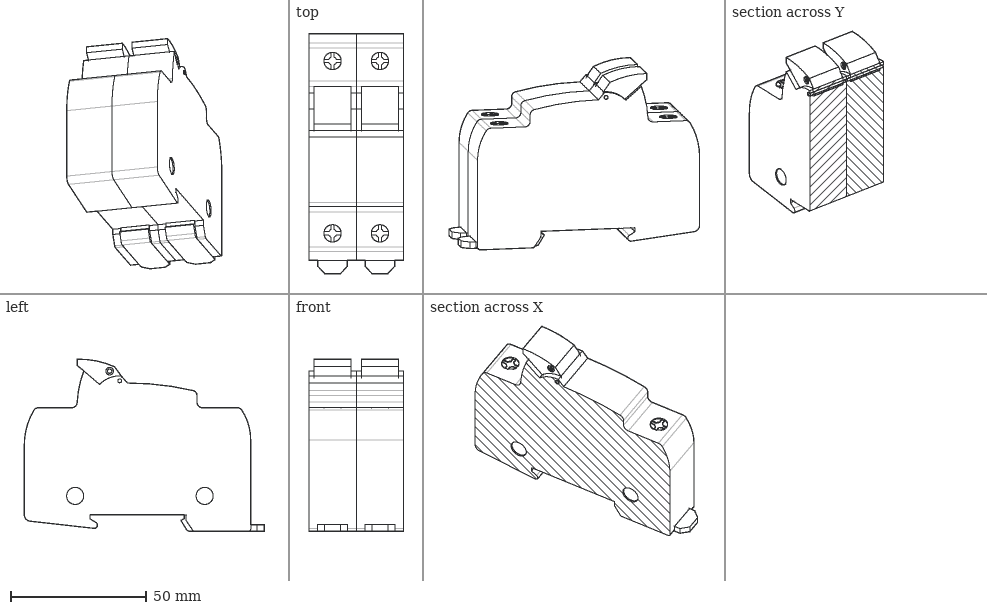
import cadquery as cq
import math


POLE_COUNT = 2
POLE_WIDTH = 17.5
POLE_MIDDLE = POLE_WIDTH / 2

HOUSING_DEPTH = 83.8
SHOULDER_HEIGHT = 45.75
EDGE_RADIUS = 2.0
FRONT_ARC_RADIUS = 20.0
FRONT_ARC_START = 33.85
BACK_ARC_RADIUS = 25.0
BACK_ARC_START = 31.95
BOTTOM_FRONT_RADIUS = 1.0

STEP_Y = 19.85
CREST_Y = 45.6
CREST_Z = 54.9
ROOF_RADIUS = 107.0
RAMP_TOP = (47.9, 57.5)
WALL_ARC_MIDDLE = (52.2, 56.8)
WALL_NOTCH = (55.95, 54.35)
WALL_PEAK = (61.8, 59.35)
REAR_ARC_MIDDLE = (63.6, 53.0)
REAR_Y = 64.25

BACK_CORNER_RADIUS = 2.5
BACK_CORNER_Z = 3.95
HOOK_BOTTOM = (57.8, 1.05)
HOOK_NOSE = (56.7, 2.15)
HOOK_TOP = (57.25, 3.3)
HOOK_ROOT = (59.4, 4.65)

RAIL_SEAT_Z = 6.1
RAIL_FRONT_Y = 23.95
RAIL_FRONT_LOW_Z = 4.05
RAIL_FOOT_Y = 21.2

SIDE_RECESS_RADIUS = 3.15
SIDE_RECESS_DEPTH = 0.5
SIDE_RECESS_Z = 13.1
SIDE_RECESS_YS = (17.05, 64.95)

SCREW_YS = (9.95, 73.7)
SCREW_RADIUS = 3.2
SCREW_SINK = 0.4
CROSS_WIDTH = 1.2
CROSS_CORE = 2.1
CROSS_DEPTH = 0.4

LEVER_WIDTH = 13.8
LEVER_X = (POLE_WIDTH - LEVER_WIDTH) / 2
LEVER_TOP_Z = 63.71
LEVER_TIP_Y = 64.25
LEVER_TIP_LOW_Z = 61.35
LEVER_CROWN = (59.0, 63.4)
LEVER_BROW = (50.35, 60.9)

PIVOT_Y = 48.5
PIVOT_Z = 55.65
PIVOT_RADIUS = 0.7
PIVOT_SINK = 0.3
PIVOT_EYE_RADIUS = 1.2

RING_Y = 52.2
RING_Z = 59.25
RING_RADIUS = 1.4
RING_DEPTH = 0.6
RING_HOLE_RADIUS = 0.8
RING_HOLE_DEPTH = 1.0

CLIP_WIDTH = 11.0
CLIP_X = (POLE_WIDTH - CLIP_WIDTH) / 2
CLIP_THICKNESS = 2.5
TAB_LENGTH = 5.0
TAB_BEVEL_LENGTH = 2.6
TAB_BEVEL_WIDTH = 2.75
JAW_BACK_Y = 20.0
JAW_STEP_Y = 24.65
JAW_STEP_Z = 4.75
JAW_TIP = (25.9, 4.05)
JAW_CORNER = (24.1, 1.15)
JAW_BEND = (23.6, 0.45)
JAW_FOOT_Y = 22.75


def side_cylinder(y, z, radius, x_start, length):
    """Cylinder along X, starting at x_start."""
    return cq.Workplane("YZ", origin=(x_start, y, z)).circle(radius).extrude(length)


def shoulder_edge(arc_radius, arc_start):
    """Points where the end-face arc, edge rounding and flat shoulder meet, as (inset, Z)."""
    rounding_z = SHOULDER_HEIGHT - EDGE_RADIUS
    centre_distance = arc_radius - EDGE_RADIUS
    tilt = math.asin((rounding_z - arc_start) / centre_distance)

    def on_arc(angle):
        return (arc_radius * (1 - math.cos(angle)), arc_start + arc_radius * math.sin(angle))

    rounding_inset = arc_radius - centre_distance * math.cos(tilt)
    middle = (tilt + math.pi / 2) / 2
    on_rounding = (
        rounding_inset - EDGE_RADIUS * math.cos(middle),
        rounding_z + EDGE_RADIUS * math.sin(middle),
    )
    return on_arc(tilt / 2), on_arc(tilt), on_rounding, (rounding_inset, SHOULDER_HEIGHT)


def roof_z(y):
    """Height of the curved roof at y."""
    return CREST_Z - ROOF_RADIUS + math.sqrt(ROOF_RADIUS**2 - (CREST_Y - y) ** 2)


def housing_block():
    front = shoulder_edge(FRONT_ARC_RADIUS, FRONT_ARC_START)
    back = [(HOUSING_DEPTH - inset, z) for inset, z in shoulder_edge(BACK_ARC_RADIUS, BACK_ARC_START)]
    roof_middle_y = (STEP_Y + CREST_Y) / 2
    block = (
        cq.Workplane("YZ")
        .moveTo(0, 0)
        .lineTo(0, FRONT_ARC_START)
        .threePointArc(front[0], front[1])
        .threePointArc(front[2], front[3])
        .lineTo(STEP_Y, SHOULDER_HEIGHT)
        .lineTo(STEP_Y, roof_z(STEP_Y))
        .threePointArc((roof_middle_y, roof_z(roof_middle_y)), (CREST_Y, CREST_Z))
        .lineTo(*RAMP_TOP)
        .threePointArc(WALL_ARC_MIDDLE, WALL_NOTCH)
        .lineTo(*WALL_PEAK)
        .threePointArc(REAR_ARC_MIDDLE, (REAR_Y, SHOULDER_HEIGHT + EDGE_RADIUS))
        .radiusArc((REAR_Y + EDGE_RADIUS, SHOULDER_HEIGHT), -EDGE_RADIUS)
        .lineTo(*back[3])
        .threePointArc(back[2], back[1])
        .threePointArc(back[0], (HOUSING_DEPTH, BACK_ARC_START))
        .lineTo(HOUSING_DEPTH, BACK_CORNER_Z)
        .lineTo(*HOOK_BOTTOM)
        .threePointArc(HOOK_NOSE, HOOK_TOP)
        .lineTo(*HOOK_ROOT)
        .lineTo(HOOK_ROOT[0], RAIL_SEAT_Z)
        .lineTo(RAIL_FRONT_Y, RAIL_SEAT_Z)
        .lineTo(RAIL_FRONT_Y, RAIL_FRONT_LOW_Z)
        .lineTo(RAIL_FOOT_Y, 0)
        .close()
        .extrude(POLE_WIDTH)
    )
    rounded_edges = (
        (0, 0, BOTTOM_FRONT_RADIUS),
        (RAIL_FOOT_Y, 0, BOTTOM_FRONT_RADIUS),
        (STEP_Y, SHOULDER_HEIGHT, EDGE_RADIUS),
        (STEP_Y, roof_z(STEP_Y), EDGE_RADIUS),
        (HOUSING_DEPTH, BACK_CORNER_Z, BACK_CORNER_RADIUS),
    )
    for y, z, radius in rounded_edges:
        corner = cq.selectors.NearestToPointSelector((POLE_MIDDLE, y, z))
        block = block.edges("|X").edges(corner).fillet(radius)
    return block


def screw_recess(y):
    """Sunk round screw face with a cross-shaped drive slot below it."""
    face_z = SHOULDER_HEIGHT - SCREW_SINK
    centre = (POLE_MIDDLE, y, face_z)
    disc = cq.Workplane("XY", origin=centre).circle(SCREW_RADIUS).extrude(SCREW_SINK)
    slot = cq.Workplane("XY", origin=centre).rect(2 * SCREW_RADIUS, CROSS_WIDTH).extrude(-CROSS_DEPTH)
    slot = slot.union(slot.rotate(centre, (POLE_MIDDLE, y, face_z + 1), 90))
    core = cq.Workplane("XY", origin=centre).polygon(4, 2 * CROSS_CORE).extrude(-CROSS_DEPTH)
    rim = cq.Workplane("XY", origin=centre).circle(SCREW_RADIUS).extrude(-CROSS_DEPTH)
    return disc.union(slot.union(core).intersect(rim))


def lever_blank():
    """Full lever shape, also the shape of the slot it fills in the housing."""
    return (
        cq.Workplane("YZ", origin=(LEVER_X, 0, 0))
        .moveTo(LEVER_TIP_Y, LEVER_TIP_LOW_Z)
        .lineTo(LEVER_TIP_Y, LEVER_TOP_Z)
        .threePointArc(LEVER_CROWN, LEVER_BROW)
        .lineTo(*RAMP_TOP)
        .lineTo(PIVOT_Y - PIVOT_EYE_RADIUS, PIVOT_Z)
        .radiusArc((PIVOT_Y, PIVOT_Z - PIVOT_EYE_RADIUS), -PIVOT_EYE_RADIUS)
        .lineTo(*WALL_NOTCH)
        .lineTo(*WALL_PEAK)
        .close()
        .extrude(LEVER_WIDTH)
    )


def pivot_bore():
    return side_cylinder(PIVOT_Y, PIVOT_Z, PIVOT_RADIUS, 0, POLE_WIDTH)


def pivot_pin():
    """Lever axle, its ends sunk a little below both sides of the housing."""
    length = POLE_WIDTH - 2 * PIVOT_SINK
    return side_cylinder(PIVOT_Y, PIVOT_Z, PIVOT_RADIUS, PIVOT_SINK, length)


def lever():
    """Lever with a stepped round recess on its -X side."""
    ring = side_cylinder(RING_Y, RING_Z, RING_RADIUS, LEVER_X, RING_DEPTH)
    hole = side_cylinder(RING_Y, RING_Z, RING_HOLE_RADIUS, LEVER_X, RING_HOLE_DEPTH)
    return lever_blank().cut(ring).cut(hole).cut(pivot_bore())


def rail_clip():
    """Sliding clip: pull tab at the front, bar under the housing, jaw at the rail."""
    clip = (
        cq.Workplane("YZ", origin=(CLIP_X, 0, 0))
        .moveTo(-TAB_LENGTH, 0)
        .lineTo(JAW_FOOT_Y, 0)
        .threePointArc(JAW_BEND, JAW_CORNER)
        .lineTo(*JAW_TIP)
        .lineTo(JAW_STEP_Y, JAW_STEP_Z)
        .lineTo(JAW_STEP_Y, RAIL_SEAT_Z)
        .lineTo(JAW_BACK_Y, RAIL_SEAT_Z)
        .lineTo(JAW_BACK_Y, CLIP_THICKNESS)
        .lineTo(-TAB_LENGTH, CLIP_THICKNESS)
        .close()
        .extrude(CLIP_WIDTH)
    )
    return clip.edges("|Z and <Y").chamfer(TAB_BEVEL_LENGTH, TAB_BEVEL_WIDTH)


def housing():
    body = housing_block().cut(lever_blank()).cut(pivot_bore()).cut(rail_clip())
    for y in SIDE_RECESS_YS:
        body = body.cut(side_cylinder(y, SIDE_RECESS_Z, SIDE_RECESS_RADIUS, 0, SIDE_RECESS_DEPTH))
    for y in SCREW_YS:
        body = body.cut(screw_recess(y))
    return body


bodies = []
for build in (housing, lever, pivot_pin, rail_clip):
    body = build()
    for pole in range(POLE_COUNT):
        bodies.extend(body.translate((pole * POLE_WIDTH, 0, 0)).vals())

result = cq.Compound.makeCompound(bodies)